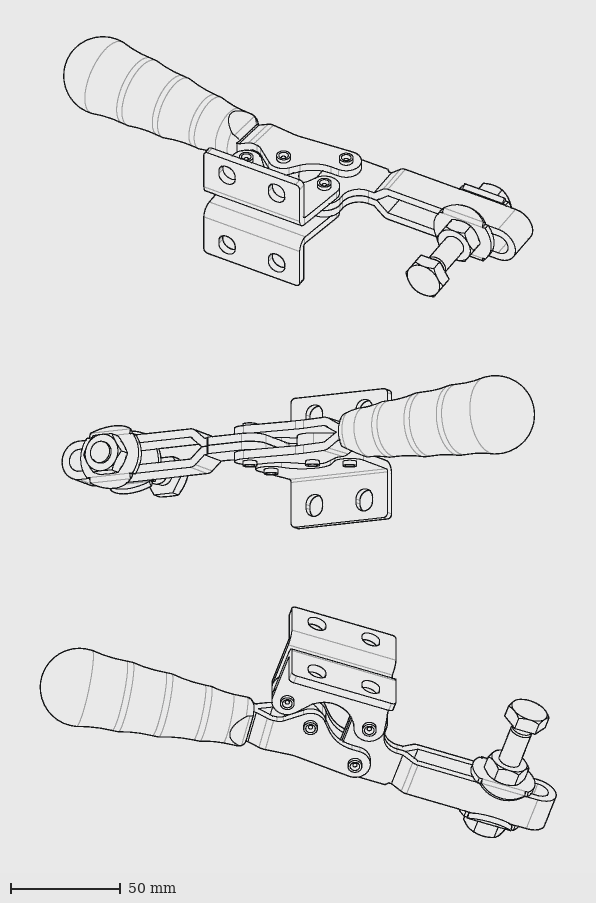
import cadquery as cq
import math

sheet = 3.9
inner_layer = sheet
outer_layer = 2 * sheet
seam_gap = 0.12

base_link_pivot = (7.0, 27.0)
link_lever_pivot = (21.3, 36.3)
lever_arm_pivot = (47.0, 48.9)
base_arm_pivot = (47.0, 28.5)
eye_radius = 7.0
arm_eye_radius = 8.2
rivet_radius = 3.1
rivet_end = 9.7
dimple_radius = 2.2
dimple_depth = 1.2
dimple_taper = 45

base_length = 50.0
base_half_width = 30.0
base_slope_start = 4.5
bend_outer_radius = 5.0
bend_inner_radius = 1.2
flange_corner_radius = 2.2
mount_slot_width = 8.5
mount_slot_length = 10.2
mount_slot_x = (12.0, 38.0)
mount_slot_z = 20.8
base_recess_radius = 13.8
base_recess_angle = 161
base_recess_corner = (18.0, 25.2)

grip_center = (-83.5, 55.0)
grip_tilt = 5.0
grip_ball_radius = 18.0
grip_ball_end = 2.2
grip_length = 79.8
grip_end_rounding = 3.6
grip_waists = [
    ((10.5, 16.5), (18.6, 16.2), 3.0),
    ((29.3, 15.0), (37.3, 14.8), 3.0),
    ((48.1, 13.3), (56.1, 12.8), 3.0),
    ((64.0, 11.9), (69.7, 11.4), grip_length - 69.7),
]
grip_wedge_start = 70.6
grip_wedge_end_half = 6.3

lever_left = -12.0
lever_spread_start = 80.8
lever_spread_end = 87.3
lever_bend_radius = 5.8
lever_throat_radius = 17.0
lever_valley = (18.6, 53.5)
lever_valley_radius = 24.2
lever_heel = (7.5, 38.5)
lever_heel_radius = 4.8
lever_top_left = 56.4
lever_bottom_left = 40.2
lever_heel_slope = 45
lever_throat_slope = 50

arm_bottom = 39.5
arm_top = 55.6
arm_shoulder_x = 64.0
arm_shoulder_run = 1.5
arm_spread_start = 66.8
arm_spread_run = 5.8
arm_half_width = 9.0
arm_end_x = 140.5
arm_bend_radius = 3.9
arm_web_radius = 8.7

spindle_x = 114.5
spindle_bottom = 0.5
spindle_top = 67.5
shank_radius = 10.0 / 2
neck_radius = 9.0 / 2
head_height = 6.5
neck_top = 11.4
neck_cone = 1.0
hex_flats = 17.0
nut_height = 7.7
hex_chamfer_drop = 1.0

washer_thickness = 2.7
washer_radius = 15.0
washer_flat_half = 9.2
washer_bend_radius = 0.7
washer_bend_angle = 45


def polar(center, radius, degrees):
    """Point on a circle around center at an angle from +X."""
    angle = math.radians(degrees)
    return (center[0] + radius * math.cos(angle), center[1] + radius * math.sin(angle))


def tangent_angle(center, radius, point, side):
    """Direction from center to where a line through point touches the circle."""
    dx = point[0] - center[0]
    dy = point[1] - center[1]
    spread = math.degrees(math.acos(radius / math.hypot(dx, dy)))
    return math.degrees(math.atan2(dy, dx)) + side * spread


def nearest(point):
    return cq.selectors.NearestToPointSelector(point)


def round_corner(body, point, radius):
    """Fillet the Z edge through a corner of a plate that is symmetric about Z = 0."""
    return body.edges("|Z").edges(nearest((*point, 0))).fillet(radius)


def plate(outline, half_thickness):
    return outline.close().extrude(half_thickness, both=True)


def pin(pivot, radius=rivet_radius, end=rivet_end):
    return cq.Workplane("XY").center(*pivot).circle(radius).extrude(end, both=True)


def rivet(pivot):
    """Pin with a conical dimple in each head."""
    body = pin(pivot)
    for direction in (1, -1):
        rim = cq.Workplane("XY", origin=(*pivot, -direction * rivet_end)).circle(dimple_radius)
        body = body.cut(rim.extrude(direction * dimple_depth, taper=dimple_taper))
    return body


def mirrored(body):
    return body.union(body.mirror("XY"))


def grip_frame(plane):
    """Workplane at the ball centre with local X along the grip axis."""
    frame = cq.Plane(origin=(*grip_center, 0)).rotated((0, 0, -grip_tilt))
    if plane == "side":
        return cq.Workplane(frame)
    return cq.Workplane(frame.rotated((90, 0, 0)))


def base_outline():
    recess_center = polar(base_arm_pivot, eye_radius + base_recess_radius, base_recess_angle)
    diagonal = tangent_angle(base_link_pivot, eye_radius, base_recess_corner, 1)
    slope = tangent_angle(base_arm_pivot, eye_radius, (base_length, base_slope_start), 1)
    return (
        cq.Workplane("XY")
        .lineTo(0, base_link_pivot[1])
        .threePointArc(
            polar(base_link_pivot, eye_radius, (180 + diagonal) / 2),
            polar(base_link_pivot, eye_radius, diagonal),
        )
        .lineTo(*base_recess_corner)
        .threePointArc(
            polar(recess_center, base_recess_radius, 270),
            polar(recess_center, base_recess_radius, base_recess_angle + 180),
        )
        .threePointArc(
            polar(base_arm_pivot, eye_radius, 90),
            polar(base_arm_pivot, eye_radius, slope),
        )
        .lineTo(base_length, base_slope_start)
        .lineTo(base_length, 0)
    )


def base_half():
    top = base_arm_pivot[1] + 2 * eye_radius
    length = base_arm_pivot[0] + 2 * eye_radius
    angle = (
        cq.Workplane("YZ")
        .moveTo(0, inner_layer)
        .lineTo(top, inner_layer)
        .lineTo(top, outer_layer)
        .lineTo(sheet, outer_layer)
        .lineTo(sheet, base_half_width)
        .lineTo(0, base_half_width)
        .close()
        .extrude(length)
    )
    outer_bend = nearest((length / 2, 0, inner_layer))
    inner_bend = nearest((length / 2, sheet, outer_layer))
    angle = angle.edges("|X").edges(outer_bend).fillet(bend_outer_radius)
    angle = angle.edges("|X").edges(inner_bend).fillet(bend_inner_radius)
    half = angle.intersect(plate(base_outline(), base_half_width))
    half = half.faces(">Z").edges("|Y").fillet(flange_corner_radius)
    slots = (
        cq.Workplane("XZ")
        .pushPoints([(x, mount_slot_z) for x in mount_slot_x])
        .slot2D(mount_slot_length, mount_slot_width, 90)
        .extrude(-sheet)
    )
    return half.cut(slots)


def make_base():
    return mirrored(base_half()).union(rivet(base_link_pivot)).union(rivet(base_arm_pivot))


def make_link():
    (x1, y1), (x2, y2) = base_link_pivot, link_lever_pivot
    bar = (
        cq.Workplane("XY")
        .center((x1 + x2) / 2, (y1 + y2) / 2)
        .slot2D(
            math.hypot(x2 - x1, y2 - y1) + 2 * eye_radius,
            2 * eye_radius,
            math.degrees(math.atan2(y2 - y1, x2 - x1)),
        )
        .extrude(inner_layer, both=True)
    )
    return bar.cut(pin(base_link_pivot)).cut(pin(link_lever_pivot))


def make_grip():
    profile = (
        grip_frame("side")
        .moveTo(-grip_ball_radius, 0)
        .threePointArc(
            polar((0, 0), grip_ball_radius, 135),
            (grip_ball_end, math.sqrt(grip_ball_radius**2 - grip_ball_end**2)),
        )
    )
    for middle, end, ring in grip_waists:
        profile = profile.threePointArc(middle, end).lineTo(end[0] + ring, end[1])
    grip = profile.lineTo(grip_length, 0).close().revolve(360, (0, 0), (1, 0))
    end_radius = grip_waists[-1][1][1]
    slope = (end_radius - grip_wedge_end_half) / (grip_length - grip_wedge_start)
    overshoot = grip_end_rounding
    for side in (1, -1):
        wedge = (
            grip_frame("plan")
            .moveTo(grip_wedge_start - overshoot, side * (end_radius + slope * overshoot))
            .lineTo(grip_length + overshoot, side * (grip_wedge_end_half - slope * overshoot))
            .lineTo(grip_length + overshoot, side * (end_radius + slope * overshoot))
            .close()
            .extrude(grip_ball_radius, both=True)
        )
        grip = grip.cut(wedge)
    end_middle = (*polar(grip_center, grip_length, -grip_tilt), 0)
    end_face = grip.faces(nearest(end_middle))
    return end_face.edges().fillet(grip_end_rounding)


def lever_plates():
    heel = 270 - lever_heel_slope
    throat = 270 + lever_throat_slope
    throat_start = polar(link_lever_pivot, eye_radius, throat)
    throat_y = lever_arm_pivot[1] - eye_radius
    throat_run = (throat_y - throat_start[1]) / math.tan(math.radians(lever_throat_slope))
    throat_corner = (throat_start[0] + throat_run, throat_y)
    crest = tangent_angle(lever_arm_pivot, eye_radius, lever_valley, -1)
    outline = (
        cq.Workplane("XY")
        .moveTo(lever_left, lever_top_left)
        .lineTo(lever_left, lever_bottom_left)
        .lineTo(*lever_heel)
        .lineTo(*polar(link_lever_pivot, eye_radius, heel))
        .threePointArc(polar(link_lever_pivot, eye_radius, 270), throat_start)
        .lineTo(*throat_corner)
        .lineTo(lever_arm_pivot[0], throat_y)
        .threePointArc(
            polar(lever_arm_pivot, eye_radius, 0),
            polar(lever_arm_pivot, eye_radius, crest),
        )
        .lineTo(*lever_valley)
    )
    body = plate(outline, outer_layer)
    body = round_corner(body, lever_heel, lever_heel_radius)
    body = round_corner(body, throat_corner, lever_throat_radius)
    return round_corner(body, lever_valley, lever_valley_radius)


def lever_prism(start_half, spread_start, end_half, spread_end):
    """Prism that widens in plan along the grip axis from one half width to another."""
    far = 2 * grip_length
    return (
        grip_frame("plan")
        .moveTo(spread_start, -start_half)
        .lineTo(spread_end, -end_half)
        .lineTo(far, -end_half)
        .lineTo(far, end_half)
        .lineTo(spread_end, end_half)
        .lineTo(spread_start, start_half)
        .close()
        .extrude(far, both=True)
    )


def lever_spread():
    """Plan shape of the lever: closed tang at the grip, opening into a fork."""
    spread_angle = math.atan2(outer_layer - inner_layer, lever_spread_end - lever_spread_start)
    inner_shift = sheet * math.tan(spread_angle / 2)
    tang = (
        grip_frame("plan")
        .rect(2 * lever_spread_start, 2 * inner_layer)
        .extrude(2 * grip_length, both=True)
    )
    fork = lever_prism(inner_layer, lever_spread_start, outer_layer, lever_spread_end)
    for z in (outer_layer, -outer_layer):
        bend = (*polar(grip_center, lever_spread_end, -grip_tilt), z)
        fork = fork.edges(nearest(bend)).fillet(lever_bend_radius)
    slot = lever_prism(0, lever_spread_start + inner_shift, inner_layer, lever_spread_end + inner_shift)
    return tang.union(fork).cut(slot)


def make_lever():
    plates = lever_plates().intersect(lever_spread())
    return plates.union(make_grip()).union(rivet(link_lever_pivot)).union(rivet(lever_arm_pivot))


def arm_side():
    left = lever_arm_pivot[0] - arm_eye_radius
    right = base_arm_pivot[0] + arm_eye_radius
    outline = (
        cq.Workplane("XY")
        .moveTo(left, base_arm_pivot[1])
        .lineTo(left, lever_arm_pivot[1])
        .threePointArc(
            polar(lever_arm_pivot, arm_eye_radius, 135),
            polar(lever_arm_pivot, arm_eye_radius, 90),
        )
        .lineTo(arm_shoulder_x, lever_arm_pivot[1] + arm_eye_radius)
        .lineTo(arm_shoulder_x + arm_shoulder_run, arm_top)
        .lineTo(arm_end_x, arm_top)
        .lineTo(arm_end_x, arm_bottom)
        .lineTo(right, arm_bottom)
        .lineTo(right, base_arm_pivot[1])
        .threePointArc(polar(base_arm_pivot, arm_eye_radius, 270), (left, base_arm_pivot[1]))
    )
    return round_corner(plate(outline, arm_half_width), (right, arm_bottom), arm_web_radius)


def arm_loop(spread_start, start_half, half_width, end_x):
    """Prism along Y that widens in plan and closes with a round end."""
    spread_end = spread_start + arm_spread_run
    end_center = arm_end_x - arm_half_width
    return (
        cq.Workplane("XZ")
        .moveTo(spread_start, -start_half)
        .lineTo(spread_end, -half_width)
        .lineTo(end_center, -half_width)
        .threePointArc((end_x, 0), (end_center, half_width))
        .lineTo(spread_end, half_width)
        .lineTo(spread_start, start_half)
        .close()
        .extrude(-arm_end_x)
    )


def make_arm():
    tail = cq.Workplane("XY").box(arm_spread_start, arm_end_x, 2 * inner_layer, (False, False, True))
    spread = tail.union(arm_loop(arm_spread_start, inner_layer, arm_half_width, arm_end_x))
    for z in (arm_half_width, -arm_half_width):
        bend = nearest((arm_spread_start + arm_spread_run, arm_end_x / 2, z))
        spread = spread.edges("|Y").edges(bend).fillet(arm_bend_radius)
    spread_angle = math.atan2(arm_half_width - inner_layer, arm_spread_run)
    slot_start = arm_spread_start + sheet * math.tan(spread_angle / 2)
    slot = arm_loop(slot_start, 0, arm_half_width - sheet, arm_end_x - sheet)
    seam = cq.Workplane("XY").box(slot_start, arm_end_x, seam_gap, (False, False, True))
    arm = arm_side().intersect(spread).cut(slot).cut(seam)
    return arm.cut(pin(lever_arm_pivot)).cut(pin(base_arm_pivot))


def upward_disc(radius, start, end):
    """Cylinder on the spindle axis between two heights."""
    return cq.Workplane("XZ", origin=(spindle_x, start, 0)).circle(radius).extrude(start - end)


def hexagon(start, height, chamfer_top):
    """Hexagon with corners along X and its corners turned off at one end or both."""
    corner_radius = hex_flats / math.sqrt(3)
    body = (
        cq.Workplane("XZ", origin=(spindle_x, start, 0))
        .polygon(6, 2 * corner_radius)
        .extrude(-height)
    )
    depth = corner_radius - hex_flats / 2
    blank = upward_disc(corner_radius, start, start + height)
    ends = blank.edges() if chamfer_top else blank.edges("<Y")
    return body.intersect(ends.chamfer(hex_chamfer_drop, depth))


def make_spindle():
    head_top = spindle_bottom + head_height
    bolt = hexagon(spindle_bottom, head_height, False)
    bolt = bolt.union(upward_disc(neck_radius, head_top, neck_top))
    shank = upward_disc(shank_radius, neck_top, spindle_top)
    shank = shank.edges("<Y").chamfer(neck_cone, shank_radius - neck_radius)
    bolt = bolt.union(shank)
    for start in (arm_bottom - washer_thickness - nut_height, arm_top + washer_thickness):
        bolt = bolt.union(hexagon(start, nut_height, True))
    return bolt


def washer_flap():
    """Segment of the upper washer bent down beside the arm on the +Z side."""
    bend_y = arm_top - washer_bend_radius
    outer_bend = washer_bend_radius + washer_thickness
    middle_bend = washer_bend_radius + washer_thickness / 2
    bend_length = middle_bend * math.radians(washer_bend_angle)
    disc = upward_disc(washer_radius, arm_top, arm_top + washer_thickness)
    beyond = (
        cq.Workplane("XY", origin=(spindle_x, arm_top, washer_flat_half + bend_length))
        .rect(2 * washer_radius, 4 * washer_thickness)
        .extrude(washer_radius)
    )
    segment = disc.intersect(beyond).translate((0, 0, -bend_length))
    chord_half = math.sqrt(washer_radius**2 - (washer_flat_half + bend_length) ** 2)
    roll = (
        cq.Workplane("XY", origin=(spindle_x, bend_y, washer_flat_half))
        .center(0, (washer_bend_radius + outer_bend) / 2)
        .rect(2 * chord_half, washer_thickness)
        .revolve(washer_bend_angle, (0, -middle_bend), (1, -middle_bend))
    )
    axis_start = (spindle_x, bend_y, washer_flat_half)
    axis_end = (spindle_x + 2.5, bend_y, washer_flat_half)
    return segment.rotate(axis_start, axis_end, washer_bend_angle).union(roll)


def upper_washer():
    disc = upward_disc(washer_radius, arm_top, arm_top + washer_thickness)
    flat = (
        cq.Workplane("XY", origin=(spindle_x, arm_top, 0))
        .rect(2 * washer_radius, 4 * washer_thickness)
        .extrude(washer_flat_half, both=True)
    )
    half = disc.intersect(flat).union(washer_flap())
    return mirrored(half).cut(upward_disc(shank_radius, 0, spindle_top))


def make_washers():
    upper = upper_washer()
    middle = (0, (arm_bottom + arm_top) / 2, 0)
    return [upper, upper.mirror("XZ", middle)]


base = make_base()
link = make_link()
lever = make_lever()
arm = make_arm()
spindle = make_spindle()
washers = make_washers()

result = cq.Compound.makeCompound(
    [base.val(), link.val(), lever.val(), arm.val(), spindle.val(), *[washer.val() for washer in washers]]
)